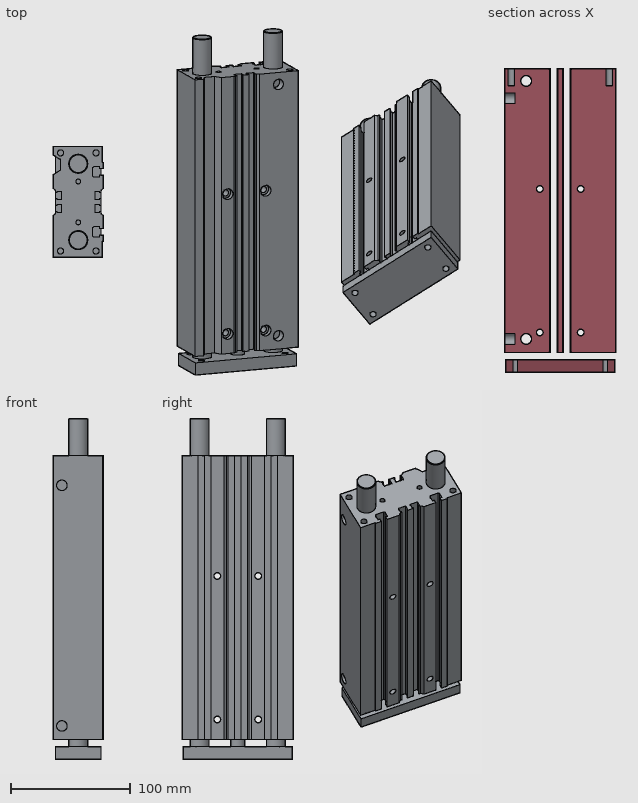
import cadquery as cq


total_height = 285.0
housing_width = 42.0
housing_depth = 93.0
housing_bottom = 16.5
housing_top = 254.0
housing_height = housing_top - housing_bottom
half_width = housing_width / 2
half_depth = housing_depth / 2

plate_width = 38.2
plate_depth = 91.2
plate_thickness = 10.5
guide_rod_diameter = 16.0
guide_rod_spacing = 63.8
guide_rod_chamfer = 0.5
plate_hole_diameter = 5.0
plate_hole_x = 12.8
plate_hole_y = 37.5
piston_rod_diameter = 12.0
piston_rod_engagement = 28.5
guide_rod_places = [(0, -guide_rod_spacing / 2), (0, guide_rod_spacing / 2)]

relief_depth = 0.9
relief_start = 33.0

channel_depth = 2.0
channel_mouth = 22.8
channel_floor = channel_mouth - 2 * channel_depth

sensor_offset = 5.5
sensor_mouth = 5.0
sensor_slot_width = 6.8
sensor_slot_top = half_width - 3.0
sensor_slot_floor = half_width - 7.0

mount_offset = 25.0
mount_mouth = 5.5
mount_slot_width = 8.8
mount_slot_top = half_width - 3.0
mount_slot_floor = half_width - 8.8
mount_slot_chamfer = 0.9

trough_center = 31.0
trough_mouth = 16.2
trough_floor = 8.8
trough_depth = 6.0

hole_pair_y = 17.0

corner_hole_diameter = 5.0
corner_hole_depth = 14.2
corner_hole_x = 14.8
corner_hole_y = 41.0
pin_hole_diameter = 4.0
pin_hole_depth = 8.5

through_hole_diameter = 5.5
counterbore_diameter = 9.0
counterbore_depth = 5.5
through_hole_heights = [33.3, 153.3]

port_diameter = 8.8
port_depth = 8.5
side_port_y = -28.5
side_port_heights = [28.0, 243.7]
end_port_x = -13.7
end_port_heights = [28.0, 229.0]


def bar(x_min, x_max, y_center, width):
    """A cutter with a rectangular section that runs the full height of the housing."""
    return (
        cq.Workplane("XY", origin=((x_min + x_max) / 2, y_center, housing_bottom))
        .rect(x_max - x_min, width)
        .extrude(housing_height)
    )


def tapered_groove(y_center, mouth, floor, depth):
    """A full-height cutter for the +X side that narrows from its mouth to its floor."""
    return (
        cq.Workplane("XY", origin=(half_width, y_center, housing_bottom))
        .polyline([(0, -mouth / 2), (0, mouth / 2), (-depth, floor / 2), (-depth, -floor / 2)])
        .close()
        .extrude(housing_height)
    )


def mirrored(cutter):
    """The same cutter moved to the -X side."""
    return cutter.mirror("YZ")


def sensor_groove():
    """Cutter for the +X centre channel with its two T-slots."""
    cutter = tapered_groove(0, channel_mouth, channel_floor, channel_depth)
    for y in (-sensor_offset, sensor_offset):
        cutter = cutter.union(bar(sensor_slot_floor, half_width, y, sensor_mouth))
        cutter = cutter.union(bar(sensor_slot_floor, sensor_slot_top, y, sensor_slot_width))
    return cutter


def mount_groove(y):
    """Cutter for one mounting T-slot with chamfered floor corners."""
    pocket = bar(mount_slot_floor, mount_slot_top, y, mount_slot_width)
    pocket = pocket.faces("<X").edges("|Z").chamfer(mount_slot_chamfer)
    return pocket.union(bar(mount_slot_floor, half_width, y, mount_mouth))


def drill(start, direction, diameter, depth):
    """A cylindrical cutter that begins at a point and runs along a direction."""
    return cq.Workplane(cq.Solid.makeCylinder(diameter / 2, depth, cq.Vector(*start), cq.Vector(*direction)))


def make_housing():
    body = cq.Workplane("XY", origin=(0, 0, housing_bottom)).rect(housing_width, housing_depth)
    body = body.extrude(housing_height)

    relief_width = half_depth - relief_start
    for side in (-1, 1):
        relief_center = side * (relief_start + relief_width / 2)
        body = body.cut(bar(half_width - relief_depth, half_width, relief_center, relief_width))
        body = body.cut(mount_groove(side * mount_offset))
    body = body.cut(sensor_groove()).cut(mirrored(sensor_groove()))
    body = body.cut(mirrored(tapered_groove(trough_center, trough_mouth, trough_floor, trough_depth)))

    for x, y in guide_rod_places:
        body = body.cut(drill((x, y, housing_bottom), (0, 0, 1), guide_rod_diameter, housing_height))
    body = body.cut(drill((0, 0, housing_bottom), (0, 0, 1), piston_rod_diameter, piston_rod_engagement))

    for y_side in (-1, 1):
        for x_side in (-1, 1):
            corner = (x_side * corner_hole_x, y_side * corner_hole_y, housing_top)
            body = body.cut(drill(corner, (0, 0, -1), corner_hole_diameter, corner_hole_depth))
        y = y_side * hole_pair_y
        body = body.cut(drill((0, y, housing_top), (0, 0, -1), pin_hole_diameter, pin_hole_depth))
        for z in through_hole_heights:
            start = (-half_width, y, z)
            body = body.cut(drill(start, (1, 0, 0), through_hole_diameter, housing_width))
            body = body.cut(drill(start, (1, 0, 0), counterbore_diameter, counterbore_depth))

    for z in side_port_heights:
        body = body.cut(drill((-half_width, side_port_y, z), (1, 0, 0), port_diameter, port_depth))
    for z in end_port_heights:
        body = body.cut(drill((end_port_x, -half_depth, z), (0, 1, 0), port_diameter, port_depth))
    return body


def make_moving_plate():
    plate = cq.Workplane("XY").rect(plate_width, plate_depth).extrude(plate_thickness)

    for x in (-plate_hole_x, plate_hole_x):
        for y in (-plate_hole_y, plate_hole_y):
            plate = plate.cut(drill((x, y, 0), (0, 0, 1), plate_hole_diameter, plate_thickness))

    guide_rods = cq.Workplane("XY").pushPoints(guide_rod_places).circle(guide_rod_diameter / 2)
    guide_rods = guide_rods.extrude(total_height).faces(">Z").chamfer(guide_rod_chamfer)
    piston_rod = cq.Workplane("XY").circle(piston_rod_diameter / 2)
    piston_rod = piston_rod.extrude(housing_bottom + piston_rod_engagement)
    return plate.union(guide_rods).union(piston_rod)


housing = make_housing()
moving_plate = make_moving_plate()

result = cq.Compound.makeCompound([housing.solids().val(), moving_plate.solids().val()])